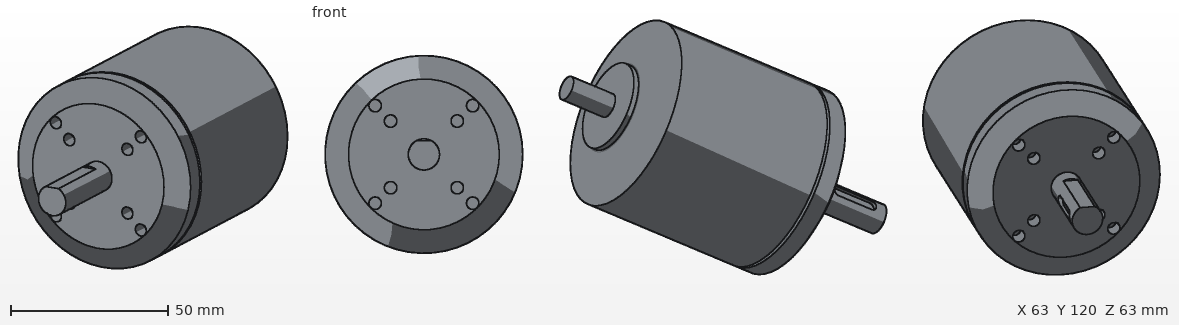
import cadquery as cq
import math

total_length = 120.0
output_shaft_length = 30.0
cap_cone_length = 4.0
cap_rim_length = 6.0
gap_width = 1.1
can_length = 56.0
rear_cone_length = 5.0
rear_boss_length = 1.8

cap_front = output_shaft_length
cap_rim_start = cap_front + cap_cone_length
cap_back = cap_rim_start + cap_rim_length
can_front = cap_back + gap_width
can_back = can_front + can_length
rear_cone_end = can_back + rear_cone_length
rear_boss_end = rear_cone_end + rear_boss_length

body_diameter = 63.0
cap_face_diameter = 48.0
neck_diameter = 30.0
rear_cone_end_diameter = 30.0
rear_boss_diameter = 29.0
output_shaft_diameter = 10.0
rear_shaft_diameter = 8.0

hole_diameter = 4.0
hole_depth = 6.0
hole_circle_diameters = (30.0, 43.9)
holes_per_circle = 4
first_hole_angle = 45.0

flat_length = 24.0
flat_depth = 0.6
keyway_length = 16.1
keyway_width = 3.4
keyway_depth = 1.5
keyway_tip_distance = 4.0


def turned_body():
    """Shafts, cap, neck, can and rear boss as one revolved profile."""
    steps = [
        (output_shaft_diameter, 0),
        (output_shaft_diameter, cap_front),
        (cap_face_diameter, cap_front),
        (body_diameter, cap_rim_start),
        (body_diameter, cap_back),
        (neck_diameter, cap_back),
        (neck_diameter, can_front),
        (body_diameter, can_front),
        (body_diameter, can_back),
        (rear_cone_end_diameter, rear_cone_end),
        (rear_boss_diameter, rear_cone_end),
        (rear_boss_diameter, rear_boss_end),
        (rear_shaft_diameter, rear_boss_end),
        (rear_shaft_diameter, total_length),
    ]
    outline = [(diameter / 2, y) for diameter, y in steps]
    profile = cq.Workplane("XY").polyline([(0, 0)] + outline + [(0, total_length)]).close()
    return profile.revolve(360, (0, 0, 0), (0, 1, 0))


def mounting_holes(circle_diameter):
    """Blind holes, equally spaced, entering the front face of the cap."""
    centres = []
    for index in range(holes_per_circle):
        angle = math.radians(first_hole_angle + index * 360 / holes_per_circle)
        centres.append((circle_diameter / 2 * math.cos(angle), circle_diameter / 2 * math.sin(angle)))
    plane = cq.Workplane("XZ", origin=(0, cap_front, 0))
    return plane.pushPoints(centres).circle(hole_diameter / 2).extrude(-hole_depth)


def shaft_flat():
    """Cutter for the flat on the top of the output shaft."""
    flat_height = output_shaft_diameter / 2 - flat_depth
    cutter = cq.Workplane("XY").box(
        output_shaft_diameter, flat_length, output_shaft_diameter, centered=(True, False, False)
    )
    return cutter.translate((0, 0, flat_height))


def keyway():
    """Cutter for the round-ended keyway on the -X side of the output shaft."""
    centre_y = keyway_tip_distance + keyway_length / 2
    plane = cq.Workplane("YZ", origin=(-output_shaft_diameter / 2, centre_y, 0))
    return plane.slot2D(keyway_length, keyway_width).extrude(keyway_depth)


result = turned_body()
for hole_circle_diameter in hole_circle_diameters:
    result = result.cut(mounting_holes(hole_circle_diameter))
result = result.cut(shaft_flat()).cut(keyway())